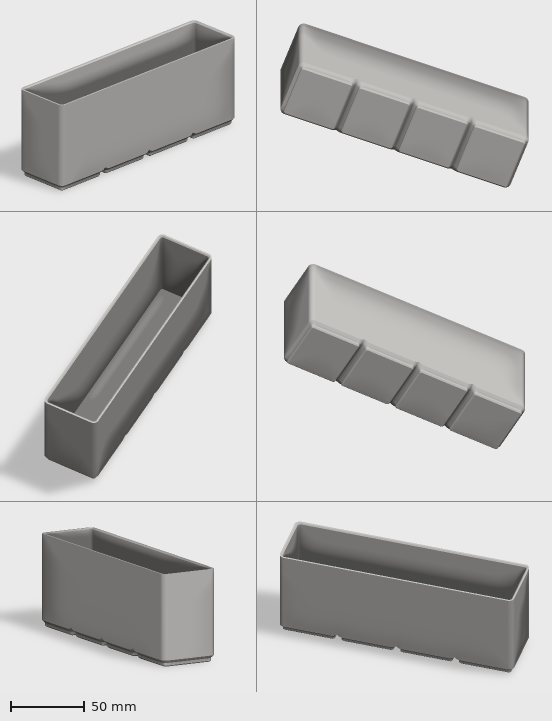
import cadquery as cq
import math

width = 41.5
length = 167.5
height = 65.0

foot_count = 4
grid_clearance = 0.5
cell_width = width + grid_clearance
cell_length = (length + grid_clearance) / foot_count
cell_radius = 4.0
foot_lower_chamfer = 0.8
foot_straight = 1.8
foot_upper_chamfer = 2.3

corner_radius = cell_radius - grid_clearance / 2
wall = 2.0
rim_chamfer = 0.8
floor_height = 7.0

straight_bottom = foot_lower_chamfer
straight_top = straight_bottom + foot_straight
cell_height = straight_top + foot_upper_chamfer

spread = math.hypot(cell_radius, corner_radius) - cell_radius
groove_top = cell_height + spread


def rounded_section(size_x, size_y, radius, inset, z):
    """Rounded rectangle at height z, offset inwards by inset."""
    section = cq.Sketch().rect(size_x - 2 * inset, size_y - 2 * inset).vertices().fillet(radius - inset)
    return section.moved(cq.Location(cq.Vector(0, 0, z)))


def rounded_layer(size_x, size_y, radius, inset_low, z_low, inset_high, z_high):
    """Solid between two offsets of a rounded rectangle; sloped when the insets differ."""
    low = rounded_section(size_x, size_y, radius, inset_low, z_low)
    high = rounded_section(size_x, size_y, radius, inset_high, z_high)
    return cq.Workplane("XY").placeSketch(low, high).loft(ruled=True)


def make_foot():
    cell = (cell_width, cell_length, cell_radius)
    straight_inset = foot_upper_chamfer
    bottom_inset = straight_inset + foot_lower_chamfer
    lower = rounded_layer(*cell, bottom_inset, 0, straight_inset, straight_bottom)
    middle = rounded_layer(*cell, straight_inset, straight_bottom, straight_inset, straight_top)
    upper = rounded_layer(*cell, straight_inset, straight_top, -spread, groove_top)
    return lower.union(middle).union(upper)


def make_feet():
    """Row of feet under a plain block; oversized, to be trimmed by the box outline."""
    foot = make_foot()
    feet = rounded_layer(cell_width, length + grid_clearance, cell_radius, 0, groove_top, 0, height)
    for index in range(foot_count):
        offset = (index - (foot_count - 1) / 2) * cell_length
        feet = feet.union(foot.translate((0, offset, 0)))
    return feet


def make_cavity():
    box = (width, length, corner_radius)
    rim_width = wall - rim_chamfer
    well = rounded_layer(*box, wall, floor_height, wall, height)
    rim = rounded_layer(*box, wall, height - rim_chamfer, rim_width, height)
    return well.union(rim)


outer = rounded_layer(width, length, corner_radius, 0, 0, 0, height)
result = outer.intersect(make_feet()).cut(make_cavity())